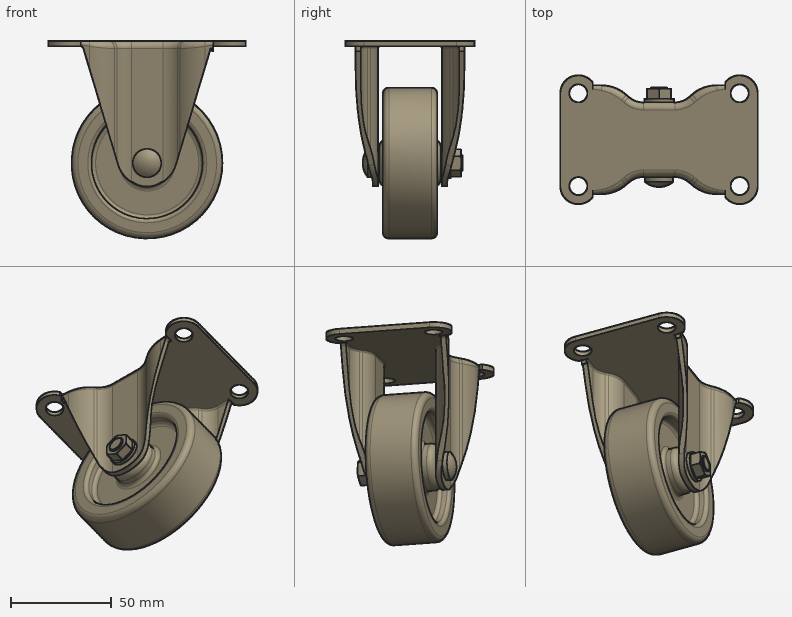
import cadquery as cq
import math

axle_height = 60.6
sheet = 2.7

plate_length = 98.0
hole_spacing_x = 80.0
hole_spacing_y = 46.0
hole_radius = 4.4
lobe_radius = (plate_length - hole_spacing_x) / 2
bend_half_length = 32.7

leg_inner_y = 15.8
leg_outer_y = leg_inner_y + sheet
flat_half_width = 7.7
outer_neck_radius = 11.1
outer_shoulder_radius = 18.4
outer_wave_angle = 41.5
outer_rise_length = 1.7
inner_neck_radius = 12.5
inner_shoulder_radius = 10.1
inner_wave_angle = 47.3
inner_rise_length = 1.8
outer_bend_radius = 3.7
shoulder_bend_radius = 2.6
tip_bend_radius = 1.9
inner_bend_radius = 0.8

leg_end_radius = 14.9
leg_end_z = 3.3
leg_taper = math.radians(16.7)
leg_root_radius = 1.2

wheel_radius = 37.4
wheel_width = 27.0
tread_round = 3.0
rim_inner_radius = 29.5
web_radius = 25.6
recess_depth = 6.4
hub_radius = 11.8
hub_width = 30.6
hub_end_round = 3.7
hub_root_round = 2.0

shank_radius = 4.0
spacer_radius = 5.5
head_radius = 7.1
head_straight = 2.4
head_dome = 2.6
washer_radius = 7.4
washer_thickness = 1.7
nut_flats = 12.0
nut_thickness = 5.1
nut_chamfer = 0.4
shank_overhang = 0.8
shank_chamfer = 0.4

plate_top = axle_height
plate_bottom = plate_top - sheet


def wave_points(flat_y, neck, shoulder, angle_degrees, rise_length):
    """Points along the right half of one leg surface, from its flat middle to the end of the bend."""
    angle = math.radians(angle_degrees)
    neck_y = flat_y + neck
    run = neck + shoulder
    shoulder_x = flat_half_width + run * math.sin(angle) + rise_length * math.cos(angle)
    shoulder_y = neck_y - run * math.cos(angle) + rise_length * math.sin(angle)

    def on_neck(turn):
        return (flat_half_width + neck * math.sin(turn), neck_y - neck * math.cos(turn))

    def on_shoulder(turn):
        return (shoulder_x - shoulder * math.sin(turn), shoulder_y + shoulder * math.cos(turn))

    return {
        "flat_end": on_neck(0),
        "neck_middle": on_neck(angle / 2),
        "neck_end": on_neck(angle),
        "shoulder_start": on_shoulder(angle),
        "shoulder_middle": on_shoulder(angle / 2),
        "shoulder_end": on_shoulder(0),
        "tip": (bend_half_length, shoulder_y + shoulder),
    }


outer_wave = wave_points(
    leg_outer_y, outer_neck_radius, outer_shoulder_radius, outer_wave_angle, outer_rise_length
)
inner_wave = wave_points(
    leg_inner_y, inner_neck_radius, inner_shoulder_radius, inner_wave_angle, inner_rise_length
)


def waisted_block(wave, top):
    """Solid between the two wavy surfaces, from the leg ends up to the given height."""
    bottom = leg_end_z - leg_end_radius
    quarter = (
        cq.Workplane("XY", origin=(0, 0, bottom))
        .lineTo(0, wave["flat_end"][1])
        .lineTo(*wave["flat_end"])
        .threePointArc(wave["neck_middle"], wave["neck_end"])
        .lineTo(*wave["shoulder_start"])
        .threePointArc(wave["shoulder_middle"], wave["shoulder_end"])
        .lineTo(*wave["tip"])
        .lineTo(bend_half_length, 0)
        .close()
        .extrude(top - bottom)
    )
    half = quarter.union(quarter.mirror("YZ"))
    return half.union(half.mirror("XZ")).clean()


def bend_edges(block, top):
    """Edges along the top of a block, without its two straight ends."""
    ends = cq.selectors.BoxSelector((-plate_length, -1, top - 1), (plate_length, 1, top + 1))
    return block.faces(">Z").edges().edges(cq.selectors.InverseSelector(ends))


def round_outer_bend(block):
    """Round the top edges of the outer block, with a radius that shrinks towards the bend ends."""
    full_radius_end = (outer_wave["shoulder_start"][0] + outer_wave["shoulder_middle"][0]) / 2
    shoulder_zone_end = (outer_wave["shoulder_end"][0] + bend_half_length) / 2
    bend = cq.occ_impl.shapes.BRepFilletAPI_MakeFillet(block.val().wrapped)
    edges = bend_edges(block, plate_top).vals()
    for edge in edges:
        if not bend.Contour(edge.wrapped):
            bend.Add(edge.wrapped)
    for edge in edges:
        for vertex in edge.Vertices():
            distance = abs(vertex.X)
            if distance < full_radius_end:
                radius = outer_bend_radius
            elif distance < shoulder_zone_end:
                radius = shoulder_bend_radius
            else:
                radius = tip_bend_radius
            bend.SetRadius(radius, bend.Contour(edge.wrapped), vertex.wrapped)
    return cq.Workplane(cq.Shape.cast(bend.Shape()))


def leg_outline():
    """Outline of the bent sheet along Y: plate edge on top, legs tapering to a round end."""
    taper_cos = math.cos(leg_taper)
    taper_sin = math.sin(leg_taper)
    tangent = (leg_end_radius * taper_cos, leg_end_z - leg_end_radius * taper_sin)
    root_x = tangent[0] + (plate_bottom - tangent[1]) * math.tan(leg_taper)
    root_setback = leg_root_radius * (1 - taper_sin) / taper_cos
    root_start = (root_x + root_setback, plate_bottom)
    root_end = (root_x - root_setback * taper_sin, plate_bottom - root_setback * taper_cos)
    return (
        cq.Workplane("XZ", origin=(0, plate_length / 2, 0))
        .moveTo(-bend_half_length, plate_top)
        .lineTo(bend_half_length, plate_top)
        .lineTo(bend_half_length, plate_bottom)
        .lineTo(*root_start)
        .tangentArcPoint(root_end, relative=False)
        .lineTo(*tangent)
        .threePointArc((0, leg_end_z - leg_end_radius), (-tangent[0], tangent[1]))
        .lineTo(-root_end[0], root_end[1])
        .tangentArcPoint((-root_start[0], plate_bottom), relative=False)
        .lineTo(-bend_half_length, plate_bottom)
        .close()
        .extrude(plate_length)
    )


def make_plate_ends():
    """The two flat ends of the plate, each with a pair of rounded mounting lobes."""
    corners = [
        (sx * hole_spacing_x / 2, sy * hole_spacing_y / 2) for sx in (-1, 1) for sy in (-1, 1)
    ]
    plane = cq.Workplane("XY", origin=(0, 0, plate_bottom))
    lobes = plane.pushPoints(corners).circle(lobe_radius).extrude(sheet)
    ends = plane.rect(plate_length, hole_spacing_y).extrude(sheet).union(lobes)
    middle = plane.rect(2 * bend_half_length, plate_length).extrude(sheet)
    holes = plane.pushPoints(corners).circle(hole_radius).extrude(sheet)
    return ends.cut(middle).cut(holes)


def make_fork():
    """Plate and two wavy legs, bent from one sheet, with a hole for the axle."""
    outside = round_outer_bend(waisted_block(outer_wave, plate_top))
    inside = waisted_block(inner_wave, plate_bottom)
    inside = bend_edges(inside, plate_bottom).fillet(inner_bend_radius)
    bent_sheet = outside.cut(inside).intersect(leg_outline())
    axle_hole = cylinder_y(-plate_length / 2, plate_length / 2, shank_radius)
    return bent_sheet.union(make_plate_ends()).cut(axle_hole)


def cylinder_y(start, end, radius):
    """Cylinder around the axle line between two Y positions."""
    return cq.Workplane("XZ", origin=(0, start, 0)).circle(radius).extrude(start - end)


def make_wheel():
    """Wheel turned around Y: rounded tread, recessed web and protruding hub on both sides."""
    face = wheel_width / 2
    web = face - recess_depth
    hub_face = hub_width / 2
    rim_middle_radius = (rim_inner_radius + web_radius) / 2
    rim_round = rim_inner_radius - rim_middle_radius
    profile = (
        cq.Workplane("XY")
        .moveTo(spacer_radius, -hub_face)
        .lineTo(spacer_radius, hub_face)
        .lineTo(hub_radius - hub_end_round, hub_face)
        .tangentArcPoint((hub_radius, hub_face - hub_end_round), relative=False)
        .lineTo(hub_radius, web + hub_root_round)
        .tangentArcPoint((hub_radius + hub_root_round, web), relative=False)
        .lineTo(web_radius, web)
        .tangentArcPoint((rim_middle_radius, web + rim_round), relative=False)
        .lineTo(rim_middle_radius, face - rim_round)
        .tangentArcPoint((rim_inner_radius, face), relative=False)
        .lineTo(wheel_radius - tread_round, face)
        .tangentArcPoint((wheel_radius, face - tread_round), relative=False)
        .lineTo(wheel_radius, tread_round - face)
        .tangentArcPoint((wheel_radius - tread_round, -face), relative=False)
        .lineTo(rim_inner_radius, -face)
        .tangentArcPoint((rim_middle_radius, rim_round - face), relative=False)
        .lineTo(rim_middle_radius, -web - rim_round)
        .tangentArcPoint((web_radius, -web), relative=False)
        .lineTo(hub_radius + hub_root_round, -web)
        .tangentArcPoint((hub_radius, -web - hub_root_round), relative=False)
        .lineTo(hub_radius, hub_end_round - hub_face)
        .tangentArcPoint((hub_radius - hub_end_round, -hub_face), relative=False)
        .close()
    )
    return profile.revolve(360, (0, 0, 0), (0, 1, 0))


def make_axle():
    """Domed bolt with its spacer sleeve, washer and hexagon nut."""
    washer_end = leg_outer_y + washer_thickness
    nut_end = washer_end + nut_thickness
    shank_end = nut_end + shank_overhang
    head_edge = -leg_outer_y - head_straight

    shank = cylinder_y(-leg_outer_y, shank_end, shank_radius).faces(">Y").chamfer(shank_chamfer)
    spacer = cylinder_y(-leg_inner_y, leg_inner_y, spacer_radius)
    washer = cylinder_y(leg_outer_y, washer_end, washer_radius)
    head = (
        cq.Workplane("XY")
        .moveTo(0, -leg_outer_y)
        .lineTo(head_radius, -leg_outer_y)
        .lineTo(head_radius, head_edge)
        .threePointArc(dome_middle(head_edge), (0, head_edge - head_dome))
        .close()
        .revolve(360, (0, 0, 0), (0, 1, 0))
    )
    nut_corners = nut_flats / math.cos(math.radians(30))
    nut = (
        cq.Workplane("XZ", origin=(0, washer_end, 0))
        .transformed(rotate=(0, 0, 90))
        .polygon(6, nut_corners)
        .extrude(-nut_thickness)
    )
    nut_limit = cylinder_y(washer_end, nut_end, nut_corners / 2).faces(">Y").chamfer(nut_chamfer)
    return shank.union(spacer).union(washer).union(head).union(nut.intersect(nut_limit))


def dome_middle(edge_y):
    """Point on the spherical dome of the bolt head, half-way from its edge to its tip."""
    sphere_radius = (head_radius ** 2 + head_dome ** 2) / (2 * head_dome)
    half_angle = math.asin(head_radius / sphere_radius) / 2
    centre_y = edge_y - head_dome + sphere_radius
    return (sphere_radius * math.sin(half_angle), centre_y - sphere_radius * math.cos(half_angle))


fork = make_fork()
wheel = make_wheel()
axle = make_axle()

result = cq.Compound.makeCompound([fork.val(), wheel.val(), axle.val()])